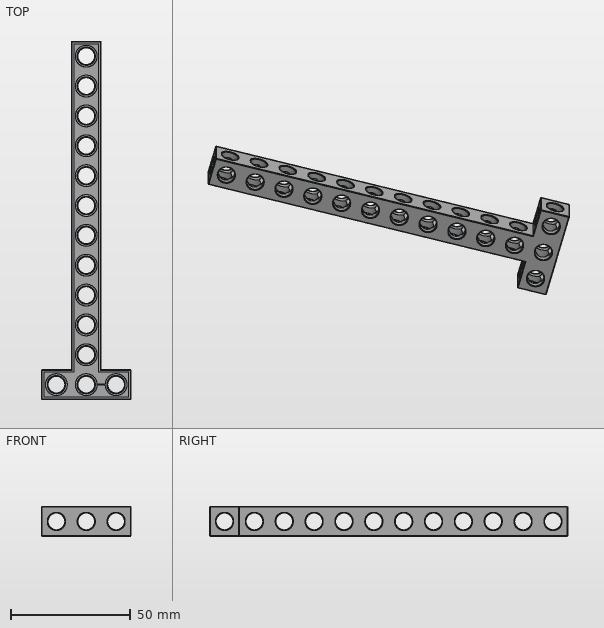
import cadquery as cq

length = 150.0
arm_cells = 12
head_cells = 3
pitch = length / arm_cells
head_width = head_cells * pitch

hole_diameter = 7.0
hole_chamfer = 0.3
edge_chamfer = 0.3

relief_depth = 0.22
rim_width = 1.0
collar_diameter = 9.2
rib_width = 0.5

head_positions = [(column - (head_cells - 1) / 2) * pitch for column in range(head_cells)]
head_center_y = pitch / 2
mid_height = pitch / 2
arm_positions = [head_center_y + row * pitch for row in range(arm_cells)]
grid_points = [(x, head_center_y) for x in head_positions]
grid_points += [(0, y) for y in arm_positions[1:]]


def tee(inset, bottom, top):
    """T-shaped prism with every side moved inward by the inset."""
    head = cq.Workplane("XY").box(
        head_width - 2 * inset, pitch - 2 * inset, top - bottom, centered=(True, False, False)
    )
    arm = cq.Workplane("XY").box(
        pitch - 2 * inset, length - 2 * inset, top - bottom, centered=(True, False, False)
    )
    return head.union(arm).translate((0, inset, bottom))


def top_relief():
    """Sunken floor inside the rim, leaving a collar at each hole and one rib in the head."""
    floor = pitch - relief_depth
    collars = (
        cq.Workplane("XY", origin=(0, 0, floor))
        .pushPoints(grid_points)
        .circle(collar_diameter / 2)
        .extrude(relief_depth)
    )
    rib = (
        cq.Workplane("XY", origin=(pitch / 2, head_center_y, floor))
        .rect(pitch, rib_width)
        .extrude(relief_depth)
    )
    return tee(rim_width, floor, pitch).cut(collars).cut(rib)


def hole(start, direction, depth):
    """Through hole with a small chamfer at both mouths."""
    radius = hole_diameter / 2
    mouth_radius = radius + hole_chamfer
    axis = cq.Vector(*direction)
    near = cq.Vector(*start)
    far = near + axis * depth
    bore = cq.Solid.makeCylinder(radius, depth, near, axis)
    near_mouth = cq.Solid.makeCone(mouth_radius, radius, hole_chamfer, near, axis)
    far_mouth = cq.Solid.makeCone(mouth_radius, radius, hole_chamfer, far, axis * -1)
    return bore.fuse(near_mouth, far_mouth)


def vertical_holes():
    """One hole down through every cell."""
    return [hole((x, y, 0), (0, 0, 1), pitch) for x, y in grid_points]


def lengthwise_holes():
    """Holes along Y: the middle one runs the whole beam, the others cross the head only."""
    return [
        hole((x, 0, mid_height), (0, 1, 0), length if x == 0 else pitch)
        for x in head_positions
    ]


def crosswise_holes():
    """Holes along X: the first one runs the whole head, the others cross the arm only."""
    holes = []
    for y in arm_positions:
        width = head_width if y == head_center_y else pitch
        holes.append(hole((-width / 2, y, mid_height), (1, 0, 0), width))
    return holes


beam = tee(0, 0, pitch)
beam = beam.faces("<X or >X or <Y or >Y or <Z or >Z").edges().chamfer(edge_chamfer)

result = beam.cut(top_relief())
for cutter in vertical_holes() + lengthwise_holes() + crosswise_holes():
    result = result.cut(cq.Workplane(cutter))